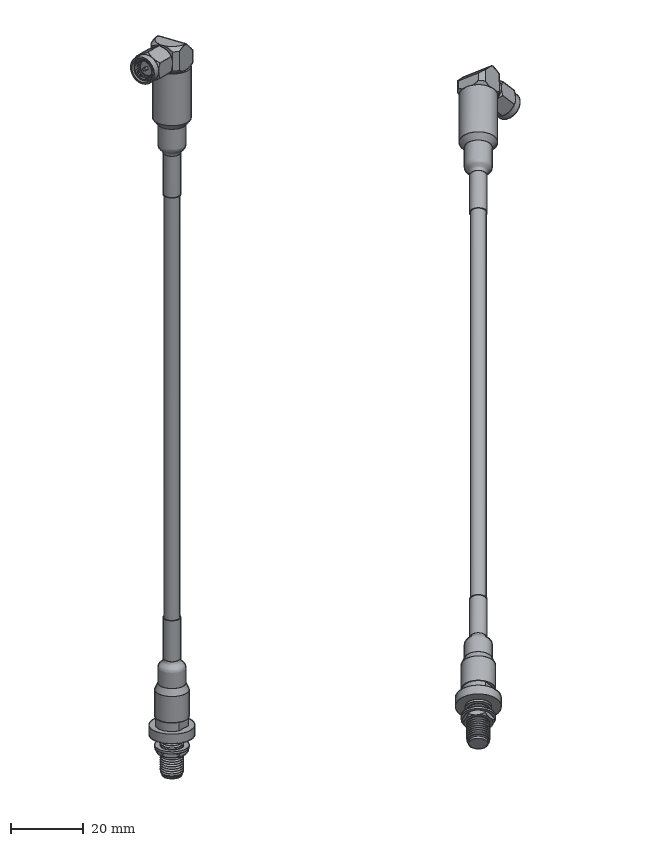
import cadquery as cq
import math


TOTAL_HEIGHT = 222.3
TOTAL_DEPTH = 20.5

CABLE_DIAMETER = 4.5
TAIL_DIAMETER = 5.0
TAIL_LENGTH = 12.5
FERRULE_DIAMETER = 7.8
TAIL_BLEND_HEIGHT = 2.7

THREAD_DIAMETER = 6.5
THREAD_ROOT_DIAMETER = 5.3
THREAD_PITCH = 0.71

THREAD_TIP_TAPER = 1.3
SHOULDER_BOTTOM = 11.5
SHOULDER_DIAMETER = 7.3
FLANGE_BOTTOM = 12.2
FLANGE_TOP = 15.1
FLANGE_DIAMETER = 12.7
NECK_DIAMETER = 9.1
NECK_FLATS_WIDTH = 8.0
JACK_BARREL_BOTTOM = 17.8
JACK_BARREL_DIAMETER = 9.5
JACK_BARREL_TOP = 25.8
JACK_FERRULE_BOTTOM = 27.8
JACK_FERRULE_TOP = 32.5
JACK_TAIL_BOTTOM = JACK_FERRULE_TOP + TAIL_BLEND_HEIGHT
JACK_TAIL_TOP = JACK_TAIL_BOTTOM + TAIL_LENGTH

WASHER_DIAMETER = 9.5
WASHER_TOP = 9.1
WASHER_THICKNESS = 0.7
NUT_ACROSS_FLATS = 8.0
NUT_THICKNESS = 1.5

PLUG_BARREL_DIAMETER = 10.7
PLUG_BARREL_TOP = 214.0
PLUG_BARREL_BOTTOM = 198.3
PLUG_FERRULE_TOP = 196.5
PLUG_FERRULE_BOTTOM = 190.3
PLUG_TAIL_TOP = PLUG_FERRULE_BOTTOM - TAIL_BLEND_HEIGHT
PLUG_TAIL_BOTTOM = PLUG_TAIL_TOP - TAIL_LENGTH
HEAD_TOP = 222.0
HEAD_WIDTH = 9.5
HEAD_DEPTH = 9.3
HEAD_CORNER_DIAMETER = 11.5
HEAD_CORNER_CHAMFER = 1.1
HEAD_SLOPE_DROP = 4.5
NOSE_DIAMETER = 4.5
NOSE_TIP_Y = -12.0
CONTACT_DIAMETER = 0.91
CONTACT_TIP_Y = -13.3

COUPLING_ACROSS_FLATS = 8.0
COUPLING_REAR_Y = -5.3
COUPLING_FRONT_Y = FLANGE_DIAMETER / 2 - TOTAL_DEPTH
COUPLING_HEX_FRONT_Y = -12.0
COUPLING_THREAD_LENGTH = 5.3
COUPLING_LEAD_IN_DIAMETER = 7.1
COUPLING_LEAD_IN_DEPTH = 0.5
COUPLING_AXIS_Z = TOTAL_HEIGHT - COUPLING_ACROSS_FLATS / math.sqrt(3)


def cylinder(diameter, bottom, top):
    """Cylinder on the Z axis between two heights."""
    return cq.Workplane("XY").workplane(offset=bottom).circle(diameter / 2).extrude(top - bottom)


def cone(bottom_diameter, bottom, top_diameter, top):
    """Truncated cone on the Z axis between two heights."""
    return (
        cq.Workplane("XZ")
        .moveTo(0, bottom)
        .lineTo(bottom_diameter / 2, bottom)
        .lineTo(top_diameter / 2, top)
        .lineTo(0, top)
        .close()
        .revolve(360, (0, 0), (0, 1))
    )


def chamfered_hexagon(across_flats, bottom, top):
    """Hexagonal prism on the Z axis, flats facing +X and -X, with its end corners turned off."""
    corner_diameter = across_flats * 2 / math.sqrt(3)
    prism = (
        cq.Workplane("XY")
        .workplane(offset=bottom)
        .polygon(6, corner_diameter)
        .extrude(top - bottom)
        .rotate((0, 0, 0), (0, 0, 1), 90)
    )
    corner_cut = (corner_diameter - across_flats) / 2
    envelope = cylinder(corner_diameter, bottom, top).edges().chamfer(corner_cut)
    return prism.intersect(envelope)


def threaded_rod(bottom, top):
    """Rod on the Z axis with V-shaped thread rings, starting at root diameter at the bottom."""
    crest = THREAD_DIAMETER / 2
    root = THREAD_ROOT_DIAMETER / 2
    turns = int((top - bottom) / THREAD_PITCH)
    outline = cq.Workplane("XZ").moveTo(0, bottom).lineTo(root, bottom)
    for turn in range(turns):
        turn_bottom = bottom + turn * THREAD_PITCH
        outline = outline.lineTo(crest, turn_bottom + THREAD_PITCH / 2)
        outline = outline.lineTo(root, turn_bottom + THREAD_PITCH)
    outline = outline.lineTo(root, top).lineTo(0, top).close()
    return outline.revolve(360, (0, 0), (0, 1))


def tail_blend(ferrule_end, tail_end):
    """S-curved neck from the ferrule down to the slimmer tail."""
    end_direction = (0, tail_end - ferrule_end)
    return (
        cq.Workplane("XZ")
        .moveTo(0, ferrule_end)
        .lineTo(FERRULE_DIAMETER / 2, ferrule_end)
        .spline(
            [(TAIL_DIAMETER / 2, tail_end)],
            tangents=[end_direction, end_direction],
            includeCurrent=True,
        )
        .lineTo(0, tail_end)
        .close()
        .revolve(360, (0, 0), (0, 1))
    )


def along_minus_y(shape):
    """Turn a shape built along +Z to point along -Y, on the axis of the coupling."""
    return shape.rotate((0, 0, 0), (1, 0, 0), 90).translate((0, 0, COUPLING_AXIS_Z))


def cable():
    """Plain cable whose ends fill the two tails."""
    return cylinder(CABLE_DIAMETER, JACK_TAIL_BOTTOM, PLUG_TAIL_TOP)


def plug_head():
    """Block with turned corners, sloped on its back, that carries the side-facing nose."""
    head_height = HEAD_TOP - PLUG_BARREL_TOP
    block = (
        cq.Workplane("XY")
        .workplane(offset=PLUG_BARREL_TOP)
        .rect(HEAD_WIDTH, HEAD_DEPTH)
        .extrude(head_height)
    )
    envelope = cylinder(HEAD_CORNER_DIAMETER, PLUG_BARREL_TOP, HEAD_TOP)
    envelope = envelope.edges().chamfer(HEAD_CORNER_CHAMFER)
    slope_cut = (
        cq.Workplane("YZ")
        .moveTo(0, HEAD_TOP)
        .lineTo(HEAD_DEPTH / 2, HEAD_TOP)
        .lineTo(HEAD_DEPTH / 2, HEAD_TOP - HEAD_SLOPE_DROP)
        .close()
        .extrude(HEAD_WIDTH / 2, both=True)
    )
    return block.intersect(envelope).cut(slope_cut)


def plug():
    """Right-angle plug: head with nose and contact pin, barrel, ferrule and tail."""
    nose = along_minus_y(cylinder(NOSE_DIAMETER, 0, -NOSE_TIP_Y))
    contact = along_minus_y(cylinder(CONTACT_DIAMETER, 0, -CONTACT_TIP_Y))
    body = (
        plug_head()
        .union(nose)
        .union(contact)
        .union(cylinder(PLUG_BARREL_DIAMETER, PLUG_BARREL_BOTTOM, PLUG_BARREL_TOP))
        .union(cone(FERRULE_DIAMETER, PLUG_FERRULE_TOP, PLUG_BARREL_DIAMETER, PLUG_BARREL_BOTTOM))
        .union(cylinder(FERRULE_DIAMETER, PLUG_FERRULE_BOTTOM, PLUG_FERRULE_TOP))
        .union(tail_blend(PLUG_FERRULE_BOTTOM, PLUG_TAIL_TOP))
        .union(cylinder(TAIL_DIAMETER, PLUG_TAIL_BOTTOM, PLUG_TAIL_TOP))
    )
    return body.cut(cylinder(CABLE_DIAMETER, PLUG_TAIL_BOTTOM, PLUG_TAIL_TOP))


def coupling_nut():
    """Hex nut with a round front rim, threaded from the front and turning on the nose."""
    hexagon = chamfered_hexagon(COUPLING_ACROSS_FLATS, -COUPLING_REAR_Y, -COUPLING_HEX_FRONT_Y)
    rim = cylinder(COUPLING_ACROSS_FLATS, -COUPLING_HEX_FRONT_Y, -COUPLING_FRONT_Y)
    thread_start = -COUPLING_FRONT_Y - COUPLING_THREAD_LENGTH
    nose_hole = cylinder(NOSE_DIAMETER, -COUPLING_REAR_Y, thread_start)
    thread_bore = threaded_rod(thread_start, -COUPLING_FRONT_Y)
    lead_in = cone(
        THREAD_DIAMETER,
        -COUPLING_FRONT_Y - COUPLING_LEAD_IN_DEPTH,
        COUPLING_LEAD_IN_DIAMETER,
        -COUPLING_FRONT_Y,
    )
    return along_minus_y(hexagon.union(rim).cut(nose_hole).cut(thread_bore).cut(lead_in))


def jack_neck():
    """Round neck above the flange with two wrench flats facing +X and -X."""
    height = JACK_BARREL_BOTTOM - FLANGE_TOP
    flats = (
        cq.Workplane("XY")
        .workplane(offset=FLANGE_TOP)
        .rect(NECK_FLATS_WIDTH, NECK_DIAMETER)
        .extrude(height)
    )
    return cylinder(NECK_DIAMETER, FLANGE_TOP, JACK_BARREL_BOTTOM).intersect(flats)


def jack():
    """Bulkhead jack: thread, flange, neck, barrel, ferrule and tail."""
    tip_envelope = cone(THREAD_ROOT_DIAMETER, 0, THREAD_DIAMETER, THREAD_TIP_TAPER)
    tip_envelope = tip_envelope.union(cylinder(THREAD_DIAMETER, THREAD_TIP_TAPER, SHOULDER_BOTTOM))
    body = (
        threaded_rod(0, SHOULDER_BOTTOM)
        .intersect(tip_envelope)
        .union(cylinder(SHOULDER_DIAMETER, SHOULDER_BOTTOM, FLANGE_BOTTOM))
        .union(cylinder(FLANGE_DIAMETER, FLANGE_BOTTOM, FLANGE_TOP))
        .union(jack_neck())
        .union(cylinder(JACK_BARREL_DIAMETER, JACK_BARREL_BOTTOM, JACK_BARREL_TOP))
        .union(cone(JACK_BARREL_DIAMETER, JACK_BARREL_TOP, FERRULE_DIAMETER, JACK_FERRULE_BOTTOM))
        .union(cylinder(FERRULE_DIAMETER, JACK_FERRULE_BOTTOM, JACK_FERRULE_TOP))
        .union(tail_blend(JACK_FERRULE_TOP, JACK_TAIL_BOTTOM))
        .union(cylinder(TAIL_DIAMETER, JACK_TAIL_BOTTOM, JACK_TAIL_TOP))
    )
    return body.cut(cylinder(CABLE_DIAMETER, JACK_TAIL_BOTTOM, JACK_TAIL_TOP))


def washer():
    """Flat washer resting on the hex nut."""
    bottom = WASHER_TOP - WASHER_THICKNESS
    hole = cylinder(THREAD_DIAMETER, bottom, WASHER_TOP)
    return cylinder(WASHER_DIAMETER, bottom, WASHER_TOP).cut(hole)


def hex_nut():
    """Hex nut on the jack thread, under the washer."""
    top = WASHER_TOP - WASHER_THICKNESS
    bottom = top - NUT_THICKNESS
    hole = cylinder(THREAD_DIAMETER, bottom, top)
    return chamfered_hexagon(NUT_ACROSS_FLATS, bottom, top).cut(hole)


result = cq.Compound.makeCompound(
    [
        cable().val(),
        plug().val(),
        coupling_nut().val(),
        jack().val(),
        washer().val(),
        hex_nut().val(),
    ]
)